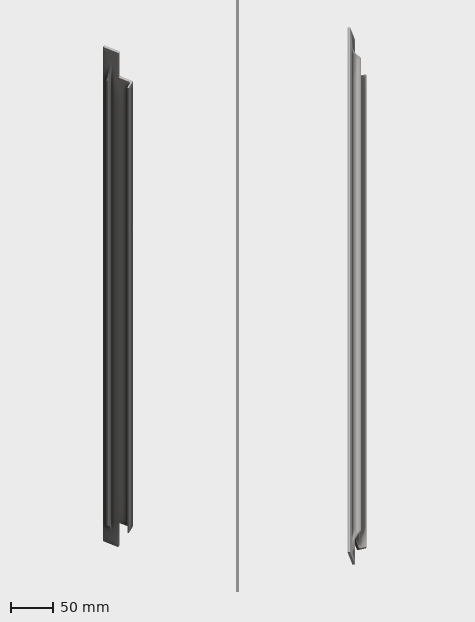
import math

import cadquery as cq

length = 995.0
width = 38.0
depth = 13.0

thickness = 3.0
strip_width = 20.5
strip_corner_radius = 1.5
front_edge_radius = 0.9
end_notch = 49.5

lip_depth = 11.5
lip_thickness = 2.0
lip_outer_radius = 1.0
lip_inner_radius = 1.9

rib_left = 9.5
rib_thickness = 1.8
rib_end_gap = 22.0
rib_run_out = 27.5
ridge_height = 0.3
ridge_half_width = 2.5

wide_length = length - 2 * end_notch
rib_right = rib_left + rib_thickness
ridge_depth = (thickness + depth) / 2


def make_strip():
    """Full-length strip with rounded corners on its right side and a rounded front left edge."""
    strip = cq.Workplane("XY").box(strip_width, thickness, length, centered=(False, False, True))
    strip = strip.translate((0, -thickness, 0))
    strip = strip.edges("|Y and >X").fillet(strip_corner_radius)
    return strip.edges("|Z and <X and <Y").fillet(front_edge_radius)


def make_wide_plate():
    """Wide stretch of the plate and its folded lip, starting inside the strip."""
    start = strip_width / 2
    lip_inside = width - lip_thickness
    profile = (
        cq.Workplane("XY")
        .moveTo(start, 0)
        .lineTo(width - lip_outer_radius, 0)
        .radiusArc((width, -lip_outer_radius), lip_outer_radius)
        .lineTo(width, -lip_depth)
        .lineTo(lip_inside, -lip_depth)
        .lineTo(lip_inside, -thickness - lip_inner_radius)
        .radiusArc((lip_inside - lip_inner_radius, -thickness), -lip_inner_radius)
        .lineTo(start, -thickness)
        .close()
    )
    return profile.extrude(wide_length / 2, both=True)


def make_rib_bar():
    """Straight rib with the ridges on both sides."""
    ridge_root = ridge_depth - ridge_half_width
    ridge_tip = ridge_depth + ridge_half_width
    section = [
        (rib_left, 0),
        (rib_left, -ridge_root),
        (rib_left - ridge_height, -ridge_depth),
        (rib_left, -ridge_tip),
        (rib_left, -depth),
        (rib_right, -depth),
        (rib_right, -ridge_tip),
        (rib_right + ridge_height, -ridge_depth),
        (rib_right, -ridge_root),
        (rib_right, 0),
    ]
    return cq.Workplane("XY").polyline(section).close().extrude(length / 2, both=True)


def make_rib():
    """Rib whose ends sweep down to the plate in concave arcs tangent to its front."""
    root_end = length / 2 - rib_end_gap
    crest_end = root_end - rib_run_out
    rise = depth - thickness
    arc_radius = (rib_run_out**2 + rise**2) / (2 * rise)
    half_angle = math.asin(rib_run_out / arc_radius) / 2
    arc_y = -thickness - arc_radius * (1 - math.cos(half_angle))
    arc_z = root_end - arc_radius * math.sin(half_angle)
    side_outline = (
        cq.Workplane("YZ")
        .moveTo(0, -root_end)
        .lineTo(-thickness, -root_end)
        .threePointArc((arc_y, -arc_z), (-depth, -crest_end))
        .lineTo(-depth, crest_end)
        .threePointArc((arc_y, arc_z), (-thickness, root_end))
        .lineTo(0, root_end)
        .close()
    )
    return make_rib_bar().intersect(side_outline.extrude(width))


result = make_strip().union(make_wide_plate()).union(make_rib())